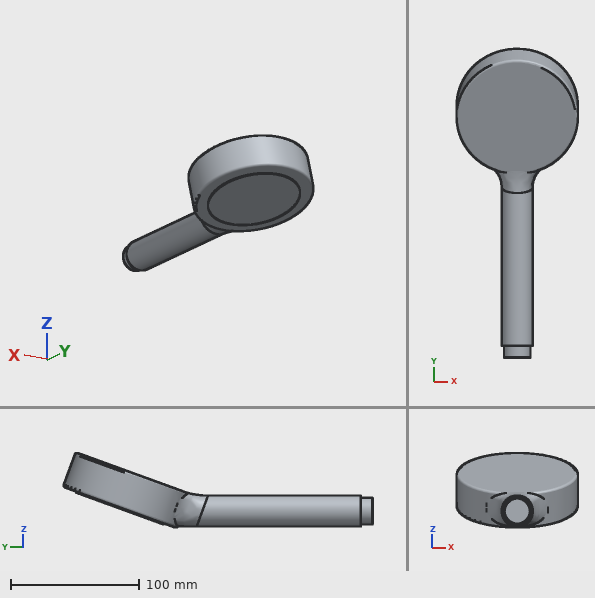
import cadquery as cq
import math

handle_diameter = 24.4
handle_radius = handle_diameter / 2
collar_chamfer = 0.3

connector_diameter = 21.0
connector_length = 9.3
connector_chamfer = 0.7

total_length = 241.44
head_diameter = 95.0
head_radius = head_diameter / 2
head_thickness = 28.8
rim_radius = 2.0
tilt = math.radians(20)
spray_face_diameter = 73.0
spray_face_height = 0.8
head_center_height = 16.3
head_reach = (
    (head_radius - rim_radius) * math.cos(tilt)
    + (head_thickness / 2 - rim_radius) * math.sin(tilt)
    + rim_radius
)
head_center_y = total_length - head_reach

neck_reach = 61.3
neck_section_count = 7
section_point_count = 32
wall_exponent = 4.0
handle_exponent = 2.0
neck_wall_top = head_thickness / 2 - 0.1
neck_wall_bottom = -13.2

neck_arc_radius = (handle_radius**2 + neck_reach**2 - head_radius**2) / (2 * (head_radius - handle_radius))
neck_wall_reach = neck_reach * head_radius / (head_radius + neck_arc_radius)
neck_span = neck_reach - neck_wall_reach

neck_handle_y = head_center_y - (neck_reach - head_center_height * math.sin(tilt)) / math.cos(tilt)
neck_handle_height = (
    (head_center_y - neck_handle_y) * math.sin(tilt) - head_center_height * math.cos(tilt)
)
neck_handle_half_height = handle_radius / math.cos(tilt)
neck_handle_top = neck_handle_height + neck_handle_half_height
neck_handle_bottom = neck_handle_height - neck_handle_half_height

head_plane = cq.Plane(
    origin=(0, head_center_y, head_center_height),
    xDir=(1, 0, 0),
    normal=(0, -math.sin(tilt), math.cos(tilt)),
)


def make_head():
    """Disc with rounded rims and a slightly raised spray face underneath."""
    underside = cq.Workplane(head_plane).workplane(offset=-head_thickness / 2)
    disc = underside.circle(head_radius).extrude(head_thickness).edges().fillet(rim_radius)
    spray_face = underside.circle(spray_face_diameter / 2).extrude(-spray_face_height)
    return disc.union(spray_face)


def make_handle():
    """Round handle, cut square to the head plane where the neck starts."""
    blank_end = neck_handle_y + handle_diameter
    blank = (
        cq.Workplane("XZ", origin=(0, connector_length, 0))
        .circle(handle_radius)
        .extrude(connector_length - blank_end)
        .faces("<Y")
        .chamfer(collar_chamfer)
    )
    neck_side = (
        cq.Workplane(head_plane)
        .center(0, -neck_reach + head_diameter / 2)
        .box(head_diameter, head_diameter, head_diameter)
    )
    return blank.cut(neck_side)


def make_connector():
    """Short hose connector with a chamfered free end."""
    return (
        cq.Workplane("XZ")
        .circle(connector_diameter / 2)
        .extrude(-connector_length)
        .faces("<Y")
        .chamfer(connector_chamfer)
    )


def neck_section(reach):
    """Closed superellipse wire at the given distance from the head center."""
    toward_handle = (reach - neck_wall_reach) / neck_span
    arc_offset = math.sqrt(neck_arc_radius**2 - (neck_reach - reach) ** 2)
    half_width = handle_radius + neck_arc_radius - arc_offset
    blend = toward_handle**2 * (3 - 2 * toward_handle)
    slope = toward_handle**2 * (toward_handle - 1) * neck_span * math.tan(tilt)
    top = neck_wall_top + blend * (neck_handle_top - neck_wall_top) + slope
    bottom = neck_wall_bottom + blend * (neck_handle_bottom - neck_wall_bottom) + slope
    center_height = (top + bottom) / 2
    half_height = (top - bottom) / 2
    exponent = wall_exponent + blend * (handle_exponent - wall_exponent)
    points = []
    for index in range(section_point_count):
        angle = math.tau * index / section_point_count
        across = math.copysign(abs(math.cos(angle)) ** (2 / exponent), math.cos(angle))
        upward = math.copysign(abs(math.sin(angle)) ** (2 / exponent), math.sin(angle))
        local = cq.Vector(half_width * across, -reach, center_height + half_height * upward)
        points.append(head_plane.toWorldCoords(local))
    return cq.Wire.assembleEdges([cq.Edge.makeSpline(points, periodic=True)])


def make_neck():
    """Smooth loft from the handle end to the side wall of the head."""
    sections = []
    for index in range(neck_section_count):
        fraction = index / (neck_section_count - 1)
        sections.append(neck_section(neck_reach - fraction * neck_span))
    return cq.Workplane(obj=cq.Solid.makeLoft(sections))


result = make_head().union(make_neck()).union(make_handle()).union(make_connector())